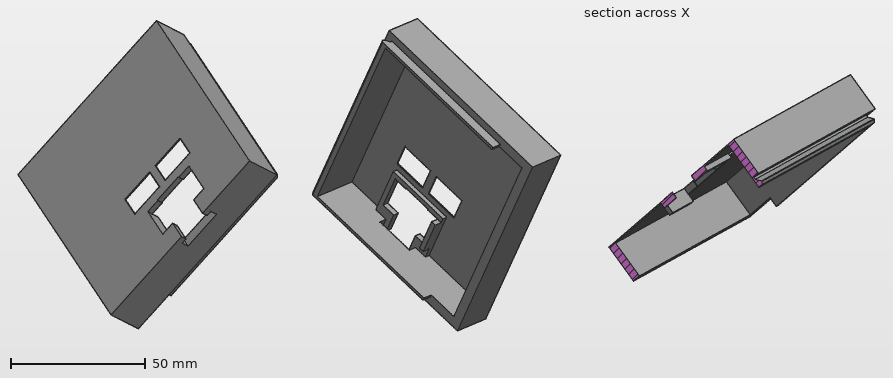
import cadquery as cq

WIDTH = 85.0
LENGTH = 80.0
BODY_DEPTH = 15.8
WALL = 4.0
FACE_THICKNESS = 0.6
TILT_DEGREES = 45

LIP_INSET = 2.9
LIP_HEIGHT = 4.1
LIP_START = 16.6
BEAD_START = 0.9
BEAD_PROJECTION = 1.95
BEAD_TIP_FLAT = 0.25

WINDOW_LEFT = 50.1
WINDOW_WIDTH = 8.9
WINDOW_HEIGHT = 14.2
WINDOW_BOTTOM = 30.1
WINDOW_PITCH = 17.5

OPENING_LEFT = 63.2
OPENING_WIDTH = 13.6
OPENING_BOTTOM = 35.0
OPENING_HEIGHT = 23.6
SLOT_LEFT = 62.9
SLOT_BOTTOM = 40.7
SLOT_HEIGHT = 12.1
SLOT_DEPTH = 5.95
RECESS_MARGIN = 2.2
PAD_THICKNESS = 2.6
PAD_MARGIN = 2.0
LEDGE_DEPTH = SLOT_DEPTH


def block(left, bottom, width, height, top, depth):
    """Box from its lower-left corner, reaching down by depth from Z = top."""
    return cq.Workplane("XY").box(width, height, depth, centered=False).translate((left, bottom, top - depth))


def make_shell():
    """Tray with a thin face and an open back."""
    body = block(0, 0, WIDTH, LENGTH, 0, BODY_DEPTH)
    cavity = block(WALL, WALL, WIDTH - 2 * WALL, LENGTH - 2 * WALL, -FACE_THICKNESS, BODY_DEPTH)
    return body.cut(cavity)


def make_lip():
    """U-shaped rear lip whose inner faces are flush with the cavity."""
    lip_width = WIDTH - 2 * LIP_INSET
    lip_end = LENGTH - LIP_INSET
    outer = block(LIP_INSET, LIP_START, lip_width, lip_end - LIP_START, -BODY_DEPTH, LIP_HEIGHT)
    inner = block(WALL, 0, WIDTH - 2 * WALL, LENGTH - WALL, -BODY_DEPTH, LIP_HEIGHT)
    tip = lip_end + BEAD_PROJECTION
    tip_z = -BODY_DEPTH - BEAD_START - BEAD_PROJECTION
    lip_bottom = -BODY_DEPTH - LIP_HEIGHT
    lower_flank_end = tip - (tip_z - BEAD_TIP_FLAT - lip_bottom)
    bead = (
        cq.Workplane("YZ")
        .moveTo(lip_end, -BODY_DEPTH - BEAD_START)
        .lineTo(tip, tip_z)
        .lineTo(tip, tip_z - BEAD_TIP_FLAT)
        .lineTo(lower_flank_end, lip_bottom)
        .lineTo(lip_end, lip_bottom)
        .close()
        .extrude(lip_width)
        .translate((LIP_INSET, 0, 0))
    )
    return outer.cut(inner).union(bead)


def make_pad():
    """Thicker face around the main opening, with a ledge under its lower edge."""
    left = OPENING_LEFT - PAD_MARGIN
    bottom = OPENING_BOTTOM - PAD_MARGIN
    width = WIDTH - WALL - left
    pad = block(left, bottom, width, OPENING_HEIGHT + 2 * PAD_MARGIN, 0, PAD_THICKNESS)
    ledge = block(OPENING_LEFT, bottom, OPENING_WIDTH, PAD_MARGIN, 0, LEDGE_DEPTH)
    return pad.union(ledge)


def make_openings():
    """Cutters for the windows, the main opening, the slot and its recess."""
    cutters = block(OPENING_LEFT, OPENING_BOTTOM, OPENING_WIDTH, OPENING_HEIGHT, 0, PAD_THICKNESS)
    slot = block(SLOT_LEFT, SLOT_BOTTOM, WIDTH - SLOT_LEFT, SLOT_HEIGHT, 0, SLOT_DEPTH)
    recess_height = SLOT_HEIGHT + 2 * RECESS_MARGIN
    recess_depth = SLOT_DEPTH - PAD_THICKNESS
    recess = block(WIDTH - WALL, SLOT_BOTTOM - RECESS_MARGIN, WALL, recess_height, -PAD_THICKNESS, recess_depth)
    cutters = cutters.union(slot).union(recess)
    for row in range(2):
        bottom = WINDOW_BOTTOM + row * WINDOW_PITCH
        window = block(WINDOW_LEFT, bottom, WINDOW_WIDTH, WINDOW_HEIGHT, 0, FACE_THICKNESS)
        cutters = cutters.union(window)
    return cutters


flat_part = make_shell().union(make_lip()).union(make_pad()).cut(make_openings())
result = flat_part.rotate((0, 0, 0), (1, 0, 0), TILT_DEGREES)